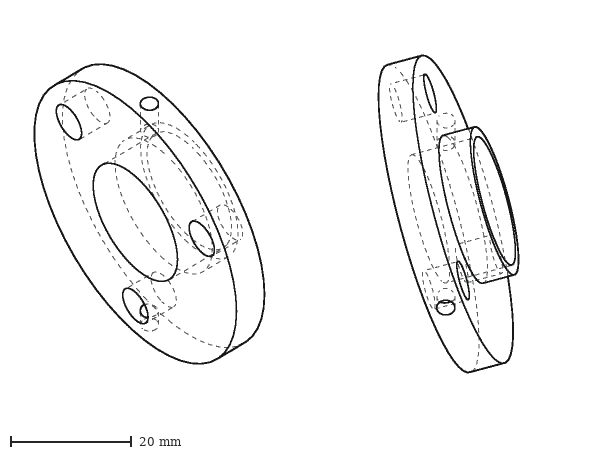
import cadquery as cq

flange_diameter = 52.8
flange_thickness = 6.0
overall_depth = 11.5
hub_diameter = 25.4
bore_diameter = 22.0

bolt_hole_diameter = 6.6
bolt_circle_radius = 20.0
bolt_hole_count = 3
first_bolt_angle = -90.0

radial_hole_diameter = 3.0
blind_hole_depth = flange_diameter / 2 - bolt_circle_radius


def cylinder_along_y(diameter, length):
    """Cylinder from the front face (Y = 0) towards +Y."""
    return cq.Workplane("XZ").circle(diameter / 2).extrude(-length)


def bolt_holes():
    return (
        cq.Workplane("XZ")
        .polarArray(bolt_circle_radius, first_bolt_angle, 360, bolt_hole_count)
        .circle(bolt_hole_diameter / 2)
        .extrude(-flange_thickness)
    )


def radial_hole(side, depth):
    """Drilled from the rim towards the axis; side is 1 at the top and -1 at the bottom."""
    return (
        cq.Workplane("XY", origin=(0, flange_thickness / 2, side * flange_diameter / 2))
        .circle(radial_hole_diameter / 2)
        .extrude(-side * depth)
    )


flange = cylinder_along_y(flange_diameter, flange_thickness)
hub = cylinder_along_y(hub_diameter, overall_depth)
bore = cylinder_along_y(bore_diameter, overall_depth)

result = (
    flange.union(hub)
    .cut(bore)
    .cut(bolt_holes())
    .cut(radial_hole(1, blind_hole_depth))
    .cut(radial_hole(-1, blind_hole_depth))
)